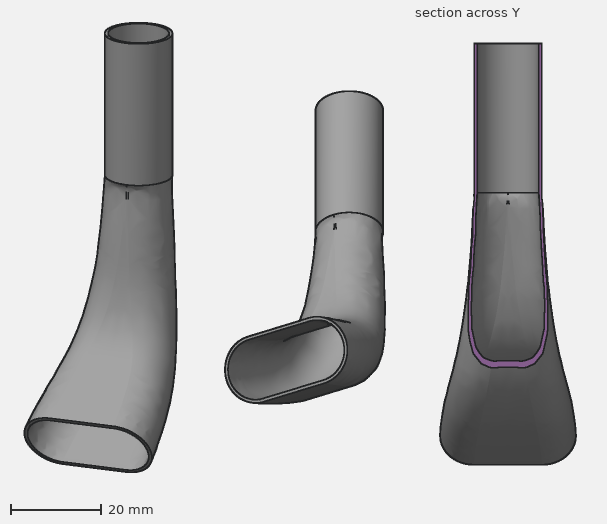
import cadquery as cq
import math

outer_diameter = 15.0
bore_diameter = 13.5
overall_height = 93.3
tube_length = 33.0
tube_bottom = overall_height - tube_length

overall_depth = 41.35
mouth_width = 30.15
mouth_tilt = math.radians(60)
outer_radius = outer_diameter / 2
mouth_y = outer_radius - overall_depth + outer_radius * math.cos(mouth_tilt)
mouth_z = outer_radius * math.sin(mouth_tilt)

tube_handle = 39.6
tube_drift = 1.6
mouth_handle = 24.3
bend_y = (0, -tube_drift, mouth_y + mouth_handle * math.sin(mouth_tilt), mouth_y)
bend_z = (
    tube_bottom,
    tube_bottom - tube_handle,
    mouth_z + mouth_handle * math.cos(mouth_tilt),
    mouth_z,
)

mouth_flat = mouth_width - outer_diameter
least_flat = 0.02
early_growth = 0.22
late_growth = 0.91
flat_growth = (least_flat, early_growth * mouth_flat, late_growth * mouth_flat, mouth_flat)
section_count = 9


def bezier(controls, t):
    """Value at t of the cubic Bezier curve with four control values."""
    a, b, c, d = controls
    u = 1 - t
    return u**3 * a + 3 * u**2 * t * b + 3 * u * t**2 * c + t**3 * d


def bezier_slope(controls, t):
    """Derivative at t of the cubic Bezier curve with four control values."""
    a, b, c, d = controls
    u = 1 - t
    return 3 * (u**2 * (b - a) + 2 * u * t * (c - b) + t**2 * (d - c))


def slot_section(diameter, t):
    """Slot outline across the bend centerline, with its flats along X."""
    direction = (0, bezier_slope(bend_y, t), bezier_slope(bend_z, t))
    if t == 0:
        direction = (0, 0, -1)
    center = (0, bezier(bend_y, t), bezier(bend_z, t))
    plane = cq.Plane(origin=center, xDir=(1, 0, 0), normal=direction)
    half_flat = bezier(flat_growth, t) / 2
    radius = diameter / 2
    outline = (
        cq.Workplane(plane)
        .moveTo(-half_flat, -radius)
        .lineTo(half_flat, -radius)
        .threePointArc((half_flat + radius, 0), (half_flat, radius))
        .lineTo(-half_flat, radius)
        .threePointArc((-half_flat - radius, 0), (-half_flat, -radius))
        .close()
    )
    return outline.val()


def flared_bend(diameter):
    """Solid bend that flares from the round tube to the slot-shaped mouth."""
    steps = section_count - 1
    sections = [slot_section(diameter, i / steps) for i in range(section_count)]
    return cq.Workplane(cq.Solid.makeLoft(sections))


def straight_tube(diameter):
    """Solid upper cylinder."""
    return cq.Workplane("XY", origin=(0, 0, tube_bottom)).circle(diameter / 2).extrude(tube_length)


def nozzle_body(diameter):
    """Solid tube and bend together."""
    return straight_tube(diameter).union(flared_bend(diameter))


result = nozzle_body(outer_diameter).cut(nozzle_body(bore_diameter))